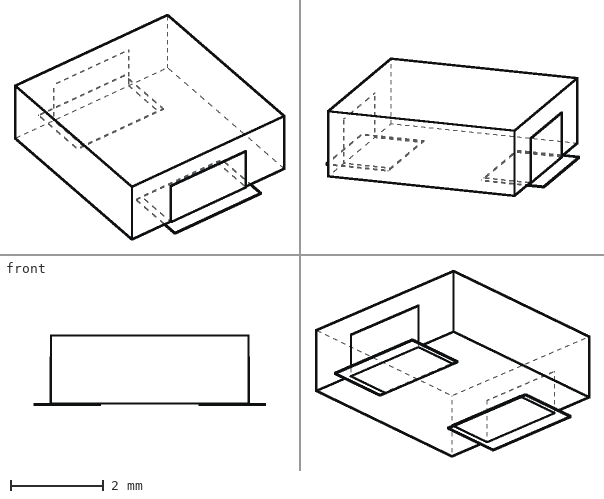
import cadquery as cq

overall_length = 4.96
overall_height = 1.5

body_length = 4.25
body_width = 4.06

pad_thickness = 0.02
pad_length = 1.415
pad_width = 2.29

foil_thickness = 0.01
foil_width = 2.0
foil_height = 1.0

body_bottom = pad_thickness + foil_thickness
body_height = overall_height - body_bottom
pad_inner_end = overall_length / 2 - pad_length
foil_outer_end = body_length / 2 + foil_thickness


def block(length, width, height, center_x, bottom_z):
    """Box centred on Y = 0, with its base at bottom_z."""
    return (
        cq.Workplane("XY")
        .box(length, width, height, centered=(True, True, False))
        .translate((center_x, 0, bottom_z))
    )


def solder_pad(side):
    """Pad reaching from under the body out past its end."""
    center_x = side * (overall_length - pad_length) / 2
    return block(pad_length, pad_width, pad_thickness, center_x, 0)


def terminal_foil(side):
    """Foil lying on the pad under the body and rising along the end face."""
    foot_length = foil_outer_end - pad_inner_end
    foot_center = side * (foil_outer_end + pad_inner_end) / 2
    foot = block(foot_length, foil_width, foil_thickness, foot_center, pad_thickness)
    upright_center = side * (foil_outer_end - foil_thickness / 2)
    upright = block(foil_thickness, foil_width, foil_height, upright_center, pad_thickness)
    return foot.union(upright)


result = block(body_length, body_width, body_height, 0, body_bottom)
for side in (-1, 1):
    result = result.union(terminal_foil(side)).union(solder_pad(side))